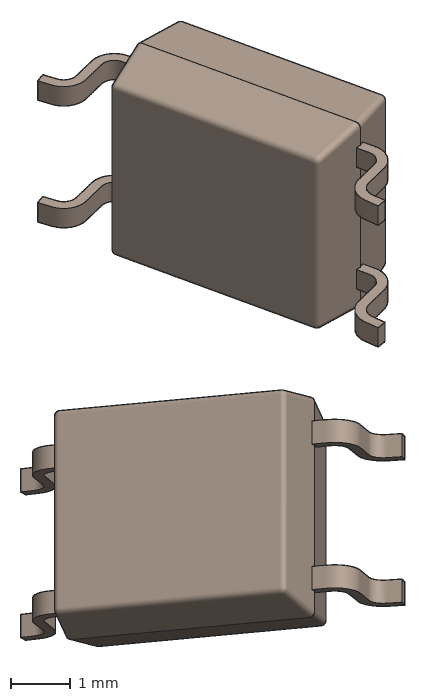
import cadquery as cq
import math

seam_length = 4.4
seam_height = 3.85
end_shrink = 0.305
half_depth = 1.1
end_length = seam_length - end_shrink
end_height = seam_height - end_shrink
edge_radius = 0.1

lead_span = 6.75
overall_depth = 2.4
lead_thickness = 0.195
lead_width = 0.405
lead_pitch = 2.54
inner_bend_radius = 0.25
leg_offset = 0.49
foot_dip = math.radians(5.0)

bend_radius = inner_bend_radius + lead_thickness / 2
leg_x = -lead_span / 2 + leg_offset + lead_thickness / 2
shoulder_x = leg_x + bend_radius
shoulder_y = -bend_radius
ankle_x = leg_x - bend_radius
foot_start_x = ankle_x + bend_radius * math.sin(foot_dip)
tip_x = -lead_span / 2 + lead_thickness / 2 * math.sin(foot_dip)
tip_y = half_depth - overall_depth + lead_thickness / 2 * math.cos(foot_dip)
foot_start_y = tip_y + (foot_start_x - tip_x) * math.tan(foot_dip)
ankle_y = foot_start_y + bend_radius * math.cos(foot_dip)


def make_housing_half(side):
    """Half of the housing on the +Y (side = 1) or -Y (side = -1) side of the seam."""
    half = (
        cq.Workplane("XZ")
        .rect(seam_length, seam_height)
        .workplane(offset=-side * half_depth)
        .rect(end_length, end_height)
        .loft(ruled=True)
    )
    seam_edges = cq.selectors.BoxSelector(
        (-seam_length, -edge_radius, -seam_height), (seam_length, edge_radius, seam_height)
    )
    return half.edges(cq.selectors.InverseSelector(seam_edges)).fillet(edge_radius)


def make_lead(side, z, housing_halves):
    """Lead at height z on the -X (side = -1) or +X (side = 1) side, ending on the housing wall."""
    centreline = (
        cq.Workplane("XY")
        .moveTo(-end_length / 2, 0)
        .lineTo(shoulder_x, 0)
        .radiusArc((leg_x, shoulder_y), -bend_radius)
        .lineTo(leg_x, ankle_y)
        .radiusArc((foot_start_x, foot_start_y), bend_radius)
        .lineTo(tip_x, tip_y)
    )
    section = cq.Workplane("YZ", origin=(-end_length / 2, 0, 0)).rect(lead_thickness, lead_width)
    lead = section.sweep(centreline)
    if side > 0:
        lead = lead.mirror("YZ")
    lead = lead.translate((0, 0, z))
    for half in housing_halves:
        lead = lead.cut(half)
    return lead


housing_halves = [make_housing_half(side) for side in (-1, 1)]
leads = [make_lead(side, z, housing_halves) for side in (-1, 1) for z in (-lead_pitch / 2, lead_pitch / 2)]

result = cq.Compound.makeCompound([body.val() for body in housing_halves + leads])